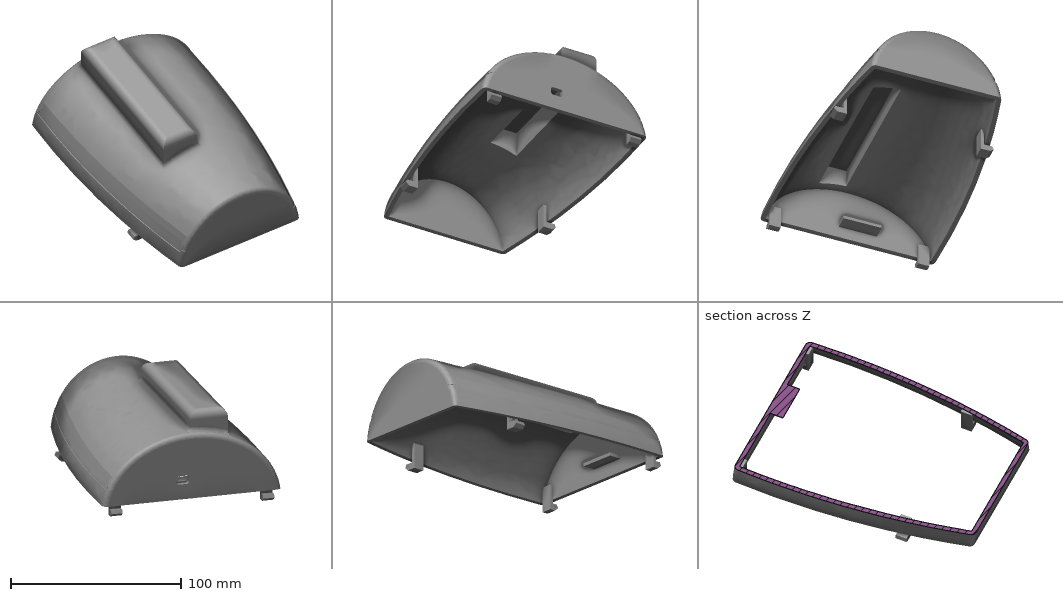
import cadquery as cq
import math

length = 150.0
arch_height = 40.0
overall_height = 58.5
wall = 3.0
end_rounding = 3.0

widest_half_width = 55.48
widest_x = 26.0
side_radius = 520.0

ellipse_drop = 5.0
ellipse_rise = arch_height + ellipse_drop
section_count = 5

block_x0 = 5.5
block_x1 = 101.0
block_y0 = -23.5
block_y1 = -0.3
block_top = 52.0
block_edge_radius = 5.0
block_base_radius = 2.3
block_root_depth = 8.0

grip_bottom = 9.5
grip_depth = 0.4
grip_end_margin = 3.3
grip_tapers = (2.6, 1.7)
grip_fold = (14.1, 15.9)
grip_top = (17.0, 20.0)

nick_depth = 0.4
nick_heights = ((10.3, 11.8), (11.4, 14.5))

window_width = 7.8
window_height = 5.2
window_y = 6.0
window_bottom = 9.3
window_corner = 1.5
shelf_top = 10.3
shelf_width = 24.0
shelf_reach = 8.0
shelf_thickness = 2.0

clip_width = 7.0
clip_depth = block_top - overall_height
clip_leg = 2.0
clip_root = 9.0
hook_top = -2.5
hook_tip_z = -4.5
hook_tip_reach = 0.92
hook_toe = 1.3
clip_outer_y = 50.3
side_clip_x = 107.6
side_clip_inner_y = 42.1


def half_width(x):
    """Half width of the cover at the base, at a station along X."""
    offset = x - widest_x
    return widest_half_width - side_radius + math.sqrt(side_radius**2 - offset**2)


def surface_y(x, z):
    """Half width of the arch at height z."""
    base_ratio = math.sqrt(1 - (ellipse_drop / ellipse_rise) ** 2)
    ratio = math.sqrt(1 - ((z + ellipse_drop) / ellipse_rise) ** 2)
    return half_width(x) * ratio / base_ratio


def arch_section(x, inset):
    """Closed cross section: an elliptical arch over a straight base line, shrunk by the inset."""
    rise = ellipse_rise - inset
    base_angle = math.asin(ellipse_drop / rise)
    half_base = half_width(x) - inset
    arch = cq.Edge.makeEllipse(
        half_base / math.cos(base_angle),
        rise,
        cq.Vector(x, 0, -ellipse_drop),
        cq.Vector(1, 0, 0),
        cq.Vector(0, 1, 0),
        math.degrees(base_angle),
        180 - math.degrees(base_angle),
    )
    base = cq.Edge.makeLine(arch.endPoint(), arch.startPoint())
    return cq.Wire.assembleEdges([arch, base])


def stations(start, end):
    """Evenly spaced places along X for the sections of a loft."""
    step = (end - start) / (section_count - 1)
    return [start + step * i for i in range(section_count)]


def arch_solid(start, end, inset):
    sections = [arch_section(x, inset) for x in stations(start, end)]
    return cq.Workplane(cq.Solid.makeLoft(sections))


def box_between(x0, x1, y0, y1, z0, z1):
    return cq.Workplane().box(x1 - x0, y1 - y0, z1 - z0, centered=False).translate((x0, y0, z0))


def raised_block():
    block = box_between(block_x0, block_x1, block_y0, block_y1, wall, block_top)
    return block.faces(">Z").edges().fillet(block_edge_radius)


def round_ends(body):
    """Round the arched edges at both ends."""
    for end in ("<X", ">X"):
        body = body.faces(end).edges(">Z").fillet(end_rounding)
    return body


def outer_body():
    body = arch_solid(0, length, 0).union(raised_block())
    around_root = cq.selectors.BoxSelector(
        (block_x0 - 1, block_y0 - 1, arch_height - block_root_depth),
        (block_x1 + 1, block_y1 + 1, arch_height + 1),
    )
    body = body.edges(around_root).edges("not |Z").fillet(block_base_radius)
    return round_ends(body)


def cavity():
    """Inside space, one wall thickness in from the outside everywhere but the open base."""
    arch_room = arch_solid(wall, length - wall, wall)
    block_room = box_between(
        block_x0 + wall, block_x1 - wall, block_y0 + wall, block_y1 - wall, wall, block_top - wall
    )
    return arch_room.union(block_room)


def grip_heights(x):
    """Heights of the fold and of the upper rim of the grip recess at one station."""
    along = (x - grip_end_margin) / (length - 2 * grip_end_margin)
    fold_z = grip_fold[0] + along * (grip_fold[1] - grip_fold[0])
    top_z = grip_top[0] + along * (grip_top[1] - grip_top[0])
    return fold_z, top_z


def grip_section(x):
    """Outline of the grip recess at one station, from its ledge up to where it fades out."""
    fold_z, top_z = grip_heights(x)
    beyond = surface_y(x, 0) + wall
    points = [
        (x, beyond, grip_bottom),
        (x, surface_y(x, grip_bottom) - grip_depth, grip_bottom),
        (x, surface_y(x, fold_z) - grip_depth, fold_z),
        (x, surface_y(x, top_z), top_z),
        (x, beyond, top_z),
    ]
    return cq.Wire.makePolygon([cq.Vector(*p) for p in points], close=True)


def grip_end(tip_x, notch_x):
    """Triangular prism that gives one end of the grip recess its swallow-tail outline."""
    fold_z, top_z = grip_heights(tip_x)
    triangle = cq.Workplane("XZ").polyline([(tip_x, grip_bottom), (notch_x, fold_z), (tip_x, top_z)])
    return triangle.close().extrude(-2 * widest_half_width)


def grip_recess():
    """Recess on the +Y side."""
    start = grip_end_margin
    end = length - grip_end_margin
    recess = cq.Workplane(cq.Solid.makeLoft([grip_section(x) for x in stations(start, end)]))
    start_taper, end_taper = grip_tapers
    return recess.cut(grip_end(start, start + start_taper)).cut(grip_end(end, end - end_taper))


def end_nicks():
    """Small steps across both end roundings, on both sides."""
    core = round_ends(arch_solid(0, length, nick_depth))
    reach = widest_half_width + wall
    start_heights, end_heights = nick_heights
    at_start = box_between(0, end_rounding, -reach, reach, *start_heights)
    at_end = box_between(length - end_rounding, length, -reach, reach, *end_heights)
    return at_start.union(at_end).cut(core)


def window():
    opening = box_between(
        -wall,
        2 * wall,
        window_y - window_width / 2,
        window_y + window_width / 2,
        window_bottom,
        window_bottom + window_height,
    )
    return opening.edges("|X").fillet(window_corner)


def shelf():
    return box_between(
        wall,
        wall + shelf_reach,
        window_y - shelf_width / 2,
        window_y + shelf_width / 2,
        shelf_top - shelf_thickness,
        shelf_top,
    )


def clip(reach):
    """Snap clip in the XZ plane: its hook points to -X and reaches that far from the leg's back."""
    outline = [
        (0, clip_root),
        (0, clip_depth),
        (hook_toe + hook_tip_reach - reach, clip_depth),
        (-reach, hook_tip_z),
        (hook_tip_reach - reach, hook_top),
        (-clip_leg, hook_top),
        (-clip_leg, clip_root),
    ]
    return cq.Workplane("XZ").polyline(outline).close().extrude(clip_width / 2, both=True)


def end_clip():
    leg_back = wall + clip_leg
    return clip(leg_back + hook_tip_reach).translate((leg_back, clip_outer_y - clip_width / 2, 0))


def side_clip():
    facing_side = clip(clip_outer_y - side_clip_inner_y).rotate((0, 0, 0), (0, 0, 1), -90)
    return facing_side.translate((side_clip_x, side_clip_inner_y, 0))


def on_both_sides(feature):
    return feature.union(feature.mirror("XZ"))


result = (
    outer_body()
    .cut(on_both_sides(grip_recess()))
    .cut(end_nicks())
    .cut(cavity())
    .cut(window())
    .union(shelf())
    .union(on_both_sides(end_clip()))
    .union(on_both_sides(side_clip()))
)